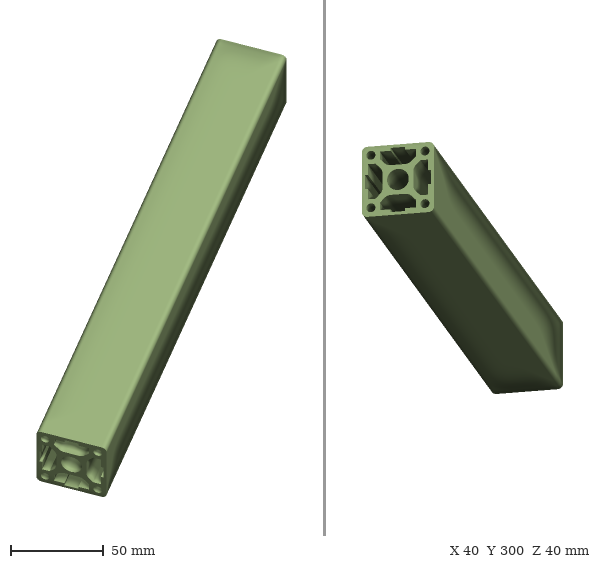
import math

import cadquery as cq

width = 40.0
length = 300.0
corner_radius = 3.0

centre_bore_diameter = 12.0
corner_bore_diameter = 5.0
corner_bore_offset = 15.0

chamber_count = 4
wall = 3.3
thin_wall = 1.7
thin_wall_half_width = 4.0
chamber_half_width = 10.0
hub_half_width = 8.5
hub_fillet_radius = 5.0
rib_thickness = 3.5

wall_inner_face = width / 2 - wall
thin_wall_inner_face = width / 2 - thin_wall

rib_face_shift = rib_thickness / 2 * math.sqrt(2)
hub_corner = hub_half_width - rib_face_shift
chamber_side_foot = chamber_half_width + rib_face_shift


def extrude_along_y(profile):
    return profile.extrude(length / 2, both=True)


def outer_bar():
    profile = cq.Workplane("XZ").rect(width, width)
    return extrude_along_y(profile).edges("|Y").fillet(corner_radius)


def bores():
    centre = cq.Workplane("XZ").circle(centre_bore_diameter / 2)
    spacing = 2 * corner_bore_offset
    corners = (
        cq.Workplane("XZ")
        .rect(spacing, spacing, forConstruction=True)
        .vertices()
        .circle(corner_bore_diameter / 2)
    )
    return extrude_along_y(centre).union(extrude_along_y(corners))


def chamber():
    """Chamber on the +Z side, from the flat of the hub up to the thinned wall."""
    right_side = [
        (hub_corner, hub_half_width),
        (chamber_half_width, chamber_side_foot),
        (chamber_half_width, wall_inner_face),
        (thin_wall_half_width, wall_inner_face),
        (thin_wall_half_width, thin_wall_inner_face),
    ]
    left_side = [(-x, z) for x, z in reversed(right_side)]
    outline = cq.Workplane("XZ").polyline(right_side + left_side).close()
    return extrude_along_y(outline).faces("<Z").edges("|Y").fillet(hub_fillet_radius)


result = outer_bar().cut(bores())
for index in range(chamber_count):
    angle = index * 360 / chamber_count
    result = result.cut(chamber().rotate((0, 0, 0), (0, 1, 0), angle))